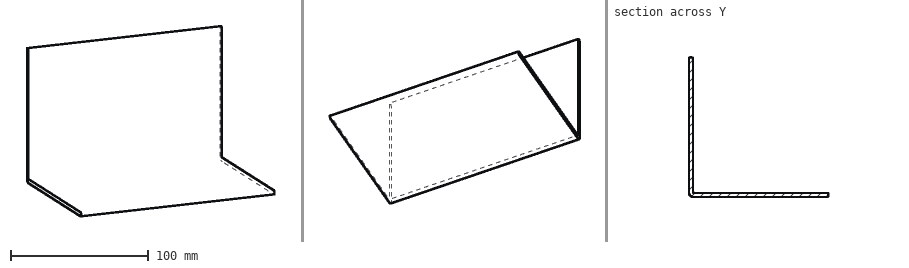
import cadquery as cq

leg_length = 101.6
angle_length = 152.4
thickness = 3.175
tip_radius = thickness / 2
inner_corner_radius = 0.254
heel_radius = thickness + inner_corner_radius


def angle_profile():
    """L-shaped section in the XZ plane, with its outer corner at the origin."""
    tip_start = leg_length - tip_radius
    return (
        cq.Workplane("XZ")
        .moveTo(0, 0)
        .lineTo(tip_start, 0)
        .threePointArc((leg_length, tip_radius), (tip_start, thickness))
        .lineTo(thickness, thickness)
        .lineTo(thickness, tip_start)
        .threePointArc((tip_radius, leg_length), (0, tip_start))
        .close()
    )


def corner_edge(body, offset):
    """Lengthwise edge of the bend at X = Z = offset."""
    return body.edges(cq.selectors.NearestToPointSelector((offset, 0, offset)))


body = angle_profile().extrude(angle_length / 2, both=True)
body = corner_edge(body, thickness).fillet(inner_corner_radius)
result = corner_edge(body, 0).fillet(heel_radius)